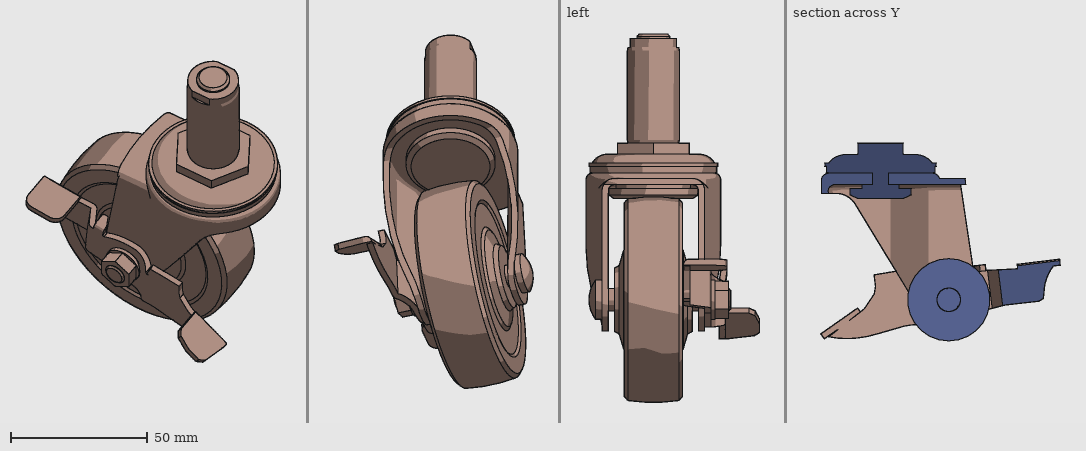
import cadquery as cq
import math


AXLE_X = -25.0
AXLE_RADIUS = 4.2
TALL = 135.0
SHEET = 2.3

TREAD_RADIUS = 37.7
TREAD_EDGE_RADIUS = 37.0
TREAD_EDGE_Y = 9.3
WHEEL_FACE_Y = 10.7
RIM_RADIUS = 35.5
RIM_INNER_RADIUS = 29.4
WEB_Y = 10.0
WEB_OUTER_RADIUS = 28.2
WEB_INNER_RADIUS = 19.5
CONE_BASE_RADIUS = 18.1
CONE_BASE_Y = 11.0
CONE_TOP_RADIUS = 12.5
CONE_TOP_Y = 12.5
HUB_RADIUS = 11.6
HUB_Y = 14.3

HEAD_RADIUS = 24.7
HEAD_TOP_Z = 46.5
HEAD_ROUND = 2.5
PLATE_TOP_Z = 44.4
PLATE_BOTTOM_Z = PLATE_TOP_Z - SHEET
SKIRT_BOTTOM_Z = 38.9
PLATE_EDGE_ROUND = 4.5
PLATE_CORNER_X = -29.8
PLATE_MIDDLE_X = -32.1
LEG_Y = 18.8
LEG_BLEND = 12.2
LEG_END_RADIUS = 10.7
LEG_END_Z = -0.8
LEG_REAR_LEAN = 8.5
LEG_FRONT_LEAN = 31.3
SKIRT_ROUND = 8.1
BELOW_Z = -16.2
CLEARANCE = 1.4
REAR_CLEAR_X = AXLE_X - 2 * LEG_END_RADIUS

STEM_TOP_Z = 97.3
BUTTON_RADIUS = 6.1
BUTTON_CHAMFER = 1.0
TIP_TOP_Z = 95.7
TIP_BOTTOM_Z = 92.3
TIP_RADIUS = 9.3
TIP_FLAT_Y = 8.5
SLEEVE_RADIUS = 9.6
SLEEVE_TOP_Z = 91.1
SLEEVE_BOTTOM_Z = 58.5
HEX_TOP_Z = 57.4
HEX_ACROSS_CORNERS = 30.4
COVER_TOP_Z = 53.3
COVER_TOP_RADIUS = 16.7
COVER_EDGE_RADIUS = 22.4
COVER_EDGE_Z = 50.1
LIP_RADIUS = 23.6
LIP_BOTTOM_Z = 48.9
RING_RADIUS = 23.2
NECK_RADIUS = 12.2
COLLAR_RADIUS = 13.6
FLANGE_RADIUS = 16.3
FLANGE_TOP_Z = 40.8
FLANGE_BOTTOM_Z = 37.0
FLANGE_CHAMFER_HEIGHT = 1.4
FLANGE_CHAMFER_WIDTH = 1.9

HEAD_RIM_RADIUS = 7.2
HEAD_RIM_Y = 21.2
HEAD_CROWN_Y = 23.6
WASHER_RADIUS = 7.2
WASHER_THICKNESS = 1.5
NUT_ACROSS_FLATS = 11.9
NUT_THICKNESS = 5.0
HALF_HEX_SECTOR = 30.0
BOLT_TIP_LENGTH = 0.8
BOLT_TIP_RADIUS = 4.0
BOLT_TIP_CHAMFER = 0.7

BRAKE_TILT = 7.0
REAR_ARM_Y = -11.1
MIDDLE_Y = -LEG_Y
FRONT_ARM_Y = -24.0
LEVER_REACH = 54.0
REAR_BEND_START_U = -19.5
REAR_BEND_END_U = -15.4
BEND_SHIFT = 1.4
REAR_BEND_ROUND = 2.7
FRONT_BEND_START_U = 3.0
FRONT_BEND_RADIUS = 9.5
FRONT_BEND_ROUND = 2.0
REAR_PEDAL_START_U = -42.1
REAR_PEDAL_END_U = -26.3
LEVER_TOP_W = 8.2
LEVER_REAR_TOP_W = 9.0
REAR_PEDAL_TOP_W = 9.9
REAR_PEDAL_TIP_Y = -27.0
REAR_PEDAL_CORNER = 4.0
PEDAL_BEND_ROUND = 2.0
STOP_START_U = -14.8
STOP_END_U = -10.7
STOP_TIP_END_U = -12.7
STOP_FOOT_W = 6.8
STOP_TOP_W = 11.2
STOP_TIP_Y = -14.7
TAB_ROOT_W = 8.1
TAB_TOP_W = 13.0
TAB_LEAN = 0.7
FRONT_PEDAL_U = 33.5
FRONT_PEDAL_W = 1.1
FRONT_PEDAL_SLOPE = 28.0
FRONT_PEDAL_LENGTH = 16.5
FRONT_PEDAL_TIP_Y = -38.9


def bar_along_y(radius, y_start, y_end):
    """Round bar on the wheel axis."""
    plane = cq.Workplane("XZ", origin=(AXLE_X, y_start, 0))
    return plane.circle(radius).extrude(y_start - y_end)


def upright_edge(x, y):
    """Selects the upright edge that passes through a point in plan."""
    reach = 0.7
    return cq.selectors.BoxSelector((x - reach, y - reach, -TALL), (x + reach, y + reach, TALL))


def cross_edge(x, z):
    """Selects the edge along Y that passes through a point of the side outline."""
    reach = 0.7
    return cq.selectors.BoxSelector((x - reach, -TALL, z - reach), (x + reach, TALL, z + reach))


def make_wheel():
    """Wheel turned about the axle, with a crowned tread, recessed webs and a coned hub."""
    half_section = [
        (TREAD_EDGE_Y, TREAD_EDGE_RADIUS),
        (WHEEL_FACE_Y, RIM_RADIUS),
        (WHEEL_FACE_Y, RIM_INNER_RADIUS),
        (WEB_Y, WEB_OUTER_RADIUS),
        (WEB_Y, WEB_INNER_RADIUS),
        (CONE_BASE_Y, CONE_BASE_RADIUS),
        (CONE_TOP_Y, CONE_TOP_RADIUS),
        (HUB_Y, HUB_RADIUS),
        (HUB_Y, AXLE_RADIUS),
    ]
    mirrored = [(-y, radius) for y, radius in reversed(half_section)]
    return (
        cq.Workplane("YZ", origin=(AXLE_X, 0, 0))
        .polyline(half_section + mirrored)
        .threePointArc((0, TREAD_RADIUS), half_section[0])
        .close()
        .revolve(360, (0, 0, 0), (1, 0, 0))
    )


def fork_envelope(inset, height):
    """Upright prism of the fork outline in plan: round head blending into two flat sides."""
    half_width = LEG_Y - inset
    head = cq.Workplane("XY").workplane(offset=BELOW_Z).circle(HEAD_RADIUS - inset)
    head = head.extrude(height - BELOW_Z)
    rear = (
        cq.Workplane("XY")
        .workplane(offset=BELOW_Z)
        .moveTo(0, -half_width)
        .lineTo(0, half_width)
        .lineTo(REAR_CLEAR_X, half_width)
        .lineTo(REAR_CLEAR_X, -half_width)
        .close()
        .extrude(height - BELOW_Z)
    )
    joint_x = -math.sqrt((HEAD_RADIUS - inset) ** 2 - half_width**2)
    envelope = head.union(rear)
    for y in (-half_width, half_width):
        envelope = envelope.edges("|Z").edges(upright_edge(joint_x, y)).fillet(LEG_BLEND + inset)
    return envelope


def leg_silhouette():
    """Side outline of the fork: tapered legs ending round about the axle, below the head."""
    rear = math.radians(LEG_REAR_LEAN)
    front = math.radians(LEG_FRONT_LEAN)
    rear_tangent = (
        AXLE_X - LEG_END_RADIUS * math.cos(rear),
        LEG_END_Z + LEG_END_RADIUS * math.sin(rear),
    )
    front_tangent = (
        AXLE_X + LEG_END_RADIUS * math.cos(front),
        LEG_END_Z - LEG_END_RADIUS * math.sin(front),
    )
    rear_top_x = rear_tangent[0] + (PLATE_BOTTOM_Z - rear_tangent[1]) * math.tan(rear)
    skirt_x = front_tangent[0] + (SKIRT_BOTTOM_Z - front_tangent[1]) * math.tan(front)
    prism = (
        cq.Workplane("XZ")
        .moveTo(*rear_tangent)
        .threePointArc((AXLE_X, LEG_END_Z - LEG_END_RADIUS), front_tangent)
        .lineTo(skirt_x, SKIRT_BOTTOM_Z)
        .lineTo(HEAD_RADIUS + CLEARANCE, SKIRT_BOTTOM_Z)
        .lineTo(HEAD_RADIUS + CLEARANCE, HEAD_TOP_Z)
        .lineTo(PLATE_MIDDLE_X - CLEARANCE, HEAD_TOP_Z)
        .lineTo(PLATE_MIDDLE_X - CLEARANCE, PLATE_BOTTOM_Z)
        .lineTo(rear_top_x, PLATE_BOTTOM_Z)
        .close()
        .extrude(HEAD_RADIUS + CLEARANCE, both=True)
    )
    return prism.edges("|Y").edges(cross_edge(skirt_x, SKIRT_BOTTOM_Z)).fillet(SKIRT_ROUND)


def rear_trim():
    """Region in front of the bowed rear edge of the top plate, and everything below the plate."""
    plate_zone = (
        cq.Workplane("XY")
        .workplane(offset=PLATE_BOTTOM_Z)
        .moveTo(HEAD_RADIUS + CLEARANCE, HEAD_RADIUS + CLEARANCE)
        .lineTo(PLATE_CORNER_X, HEAD_RADIUS + CLEARANCE)
        .lineTo(PLATE_CORNER_X, LEG_Y)
        .threePointArc((PLATE_MIDDLE_X, 0), (PLATE_CORNER_X, -LEG_Y))
        .lineTo(PLATE_CORNER_X, -HEAD_RADIUS - CLEARANCE)
        .lineTo(HEAD_RADIUS + CLEARANCE, -HEAD_RADIUS - CLEARANCE)
        .close()
        .extrude(HEAD_TOP_Z - PLATE_BOTTOM_Z)
    )
    leg_zone = (
        cq.Workplane("XY")
        .workplane(offset=BELOW_Z)
        .rect(-4 * REAR_CLEAR_X, 4 * HEAD_RADIUS)
        .extrude(PLATE_BOTTOM_Z - BELOW_Z)
    )
    return plate_zone.union(leg_zone)


def make_fork(axle):
    """Pressed fork: hollow head and plate with two legs, bored for the stem and seating the bolt."""
    outer = fork_envelope(0, PLATE_TOP_Z).faces(">Z").edges().fillet(PLATE_EDGE_ROUND)
    head = (
        cq.Workplane("XY")
        .workplane(offset=SKIRT_BOTTOM_Z)
        .circle(HEAD_RADIUS)
        .extrude(HEAD_TOP_Z - SKIRT_BOTTOM_Z)
        .faces(">Z")
        .edges()
        .fillet(HEAD_ROUND)
    )
    inner = fork_envelope(SHEET, PLATE_BOTTOM_Z).faces(">Z").edges().fillet(PLATE_EDGE_ROUND - SHEET)
    shell = outer.union(head).cut(inner).intersect(leg_silhouette()).intersect(rear_trim())
    stem_hole = cq.Workplane("XY").circle(NECK_RADIUS).extrude(HEAD_TOP_Z)
    return shell.cut(stem_hole).cut(axle)


def make_stem():
    """Stem with its flatted tip, hexagon, bearing cover and the flange below the fork plate."""
    turned = (
        cq.Workplane("XZ")
        .moveTo(0, STEM_TOP_Z)
        .lineTo(BUTTON_RADIUS - BUTTON_CHAMFER, STEM_TOP_Z)
        .lineTo(BUTTON_RADIUS, STEM_TOP_Z - BUTTON_CHAMFER)
        .lineTo(BUTTON_RADIUS, TIP_TOP_Z)
        .lineTo(TIP_RADIUS, TIP_TOP_Z)
        .lineTo(TIP_RADIUS, TIP_BOTTOM_Z)
        .lineTo(SLEEVE_RADIUS, SLEEVE_TOP_Z)
        .lineTo(SLEEVE_RADIUS, SLEEVE_BOTTOM_Z)
        .lineTo(TIP_RADIUS, HEX_TOP_Z)
        .lineTo(TIP_RADIUS, COVER_TOP_Z)
        .lineTo(COVER_TOP_RADIUS, COVER_TOP_Z)
        .tangentArcPoint((COVER_EDGE_RADIUS, COVER_EDGE_Z), relative=False)
        .lineTo(LIP_RADIUS, COVER_EDGE_Z)
        .lineTo(LIP_RADIUS, LIP_BOTTOM_Z)
        .lineTo(RING_RADIUS, LIP_BOTTOM_Z)
        .lineTo(RING_RADIUS, HEAD_TOP_Z)
        .lineTo(NECK_RADIUS, HEAD_TOP_Z)
        .lineTo(NECK_RADIUS, PLATE_BOTTOM_Z)
        .lineTo(COLLAR_RADIUS, PLATE_BOTTOM_Z)
        .lineTo(COLLAR_RADIUS, FLANGE_TOP_Z)
        .lineTo(FLANGE_RADIUS, FLANGE_TOP_Z)
        .lineTo(FLANGE_RADIUS, FLANGE_BOTTOM_Z + FLANGE_CHAMFER_HEIGHT)
        .lineTo(FLANGE_RADIUS - FLANGE_CHAMFER_WIDTH, FLANGE_BOTTOM_Z)
        .lineTo(0, FLANGE_BOTTOM_Z)
        .close()
        .revolve(360, (0, 0, 0), (0, 1, 0))
    )
    flatted_tip = cq.Workplane("XY").workplane(offset=TIP_BOTTOM_Z)
    flatted_tip = flatted_tip.rect(2 * SLEEVE_RADIUS, 2 * TIP_FLAT_Y).extrude(TIP_TOP_Z - TIP_BOTTOM_Z)
    tip_band = cq.Workplane("XY").workplane(offset=TIP_BOTTOM_Z)
    tip_band = tip_band.circle(SLEEVE_RADIUS).extrude(TIP_TOP_Z - TIP_BOTTOM_Z)
    hexagon = cq.Workplane("XY").workplane(offset=COVER_TOP_Z)
    hexagon = hexagon.polygon(6, HEX_ACROSS_CORNERS).extrude(HEX_TOP_Z - COVER_TOP_Z)
    return turned.cut(tip_band.cut(flatted_tip)).union(hexagon)


def make_axle():
    """Bolt with a domed head on the +Y leg and a flanged nut against the brake lever."""
    washer_y = MIDDLE_Y - SHEET
    nut_y = washer_y - WASHER_THICKNESS
    nut_end_y = nut_y - NUT_THICKNESS
    tip_y = nut_end_y - BOLT_TIP_LENGTH
    crown_rise = HEAD_CROWN_Y - HEAD_RIM_Y
    crown_radius = (HEAD_RIM_RADIUS**2 + crown_rise**2) / (2 * crown_rise)
    crown_drop = crown_radius - math.sqrt(crown_radius**2 - (HEAD_RIM_RADIUS / 2) ** 2)
    crown_middle_y = HEAD_CROWN_Y - crown_drop
    shank = bar_along_y(AXLE_RADIUS, LEG_Y, washer_y)
    head = (
        cq.Workplane("XY", origin=(AXLE_X, 0, 0))
        .moveTo(0, LEG_Y)
        .lineTo(HEAD_RIM_RADIUS, LEG_Y)
        .lineTo(HEAD_RIM_RADIUS, HEAD_RIM_Y)
        .threePointArc((HEAD_RIM_RADIUS / 2, crown_middle_y), (0, HEAD_CROWN_Y))
        .close()
        .revolve(360, (0, 0, 0), (0, 1, 0))
    )
    washer = bar_along_y(WASHER_RADIUS, washer_y, nut_y)
    nut = (
        cq.Workplane("XZ", origin=(AXLE_X, nut_y, 0))
        .polygon(6, NUT_ACROSS_FLATS / math.cos(math.radians(HALF_HEX_SECTOR)))
        .extrude(NUT_THICKNESS)
        .rotate((AXLE_X, 0, 0), (AXLE_X, 1, 0), HALF_HEX_SECTOR)
    )
    tip = bar_along_y(BOLT_TIP_RADIUS, nut_end_y, tip_y).faces("<Y").chamfer(BOLT_TIP_CHAMFER)
    return shank.union(head).union(washer).union(nut).union(tip)


def lever_strip():
    """Lever sheet bent in plan, taller than the lever."""
    rear_outer = REAR_ARM_Y - SHEET
    middle_outer = MIDDLE_Y - SHEET
    front_outer = FRONT_ARM_Y - SHEET
    outer_radius = FRONT_BEND_RADIUS
    inner_radius = FRONT_BEND_RADIUS + SHEET
    offset = MIDDLE_Y - FRONT_ARM_Y
    outer_end_u = FRONT_BEND_START_U + math.sqrt(outer_radius**2 - (outer_radius - offset) ** 2)
    inner_end_u = FRONT_BEND_START_U + math.sqrt(inner_radius**2 - (inner_radius - offset) ** 2)
    strip = (
        cq.Workplane("XY")
        .workplane(offset=-LEVER_REACH)
        .moveTo(-LEVER_REACH, rear_outer)
        .lineTo(REAR_BEND_START_U - BEND_SHIFT, rear_outer)
        .lineTo(REAR_BEND_END_U - BEND_SHIFT, middle_outer)
        .lineTo(FRONT_BEND_START_U, middle_outer)
        .tangentArcPoint((outer_end_u, front_outer), relative=False)
        .lineTo(LEVER_REACH, front_outer)
        .lineTo(LEVER_REACH, FRONT_ARM_Y)
        .lineTo(inner_end_u, FRONT_ARM_Y)
        .radiusArc((FRONT_BEND_START_U, MIDDLE_Y), -inner_radius)
        .lineTo(REAR_BEND_END_U, MIDDLE_Y)
        .lineTo(REAR_BEND_START_U, REAR_ARM_Y)
        .lineTo(-LEVER_REACH, REAR_ARM_Y)
        .close()
        .extrude(2 * LEVER_REACH)
    )
    rear_bends = (
        (REAR_BEND_START_U, REAR_ARM_Y),
        (REAR_BEND_END_U - BEND_SHIFT, middle_outer),
    )
    for u, y in rear_bends:
        strip = strip.edges("|Z").edges(upright_edge(u, y)).fillet(REAR_BEND_ROUND)
    return strip.edges("|Z").edges(upright_edge(outer_end_u, front_outer)).fillet(FRONT_BEND_ROUND)


def lever_outline():
    """Side outline of the lever, extruded through its whole depth."""
    rear_end_top = (-40.2, LEVER_TOP_W)
    rear_end_side = (-35.0, -1.6)
    rear_end_hollow = (-36.6, 3.5)
    rear_lower_edge = [(-34.4, -3.8), (-32.7, -4.6), (-20.4, -4.5), (-8.8, -6.0)]
    middle_bottom = (1.2, -9.5)
    front_bottom = (12.0, -7.7)
    front_lower_edge = [(21.0, -8.1), (26.3, -9.0), (31.2, -9.7), (37.7, -9.7), (45.4, -8.1)]
    front_upper_edge = [(33.2, -0.8), (31.0, 0.5), (26.9, 5.4), (26.0, TAB_ROOT_W), (11.3, TAB_ROOT_W)]
    middle_top = (0.0, 10.7)
    stop_foot = (-10.0, 7.8)
    rear_upper_edge = [(STOP_START_U, LEVER_REAR_TOP_W), (REAR_PEDAL_END_U, LEVER_TOP_W)]
    return (
        cq.Workplane("XZ")
        .moveTo(*rear_end_top)
        .threePointArc(rear_end_hollow, rear_end_side)
        .polyline(rear_lower_edge, includeCurrent=True)
        .threePointArc(middle_bottom, front_bottom)
        .spline(front_lower_edge, includeCurrent=True)
        .polyline(front_upper_edge, includeCurrent=True)
        .threePointArc(middle_top, stop_foot)
        .polyline(rear_upper_edge, includeCurrent=True)
        .close()
        .extrude(LEVER_REACH)
    )


def rear_pedal():
    """Flat foot pad turned outward from the top of the rear arm."""
    depth = REAR_ARM_Y - REAR_PEDAL_TIP_Y
    pad = cq.Workplane("XY").box(REAR_PEDAL_END_U - REAR_PEDAL_START_U, depth, SHEET, centered=False)
    pad = pad.translate((REAR_PEDAL_START_U, REAR_PEDAL_TIP_Y, REAR_PEDAL_TOP_W - SHEET))
    pad = pad.edges("|Z and <Y").fillet(REAR_PEDAL_CORNER)
    return pad.edges(">Y and >Z").fillet(PEDAL_BEND_ROUND)


def stop_tab():
    """Tapered tab turned inward behind the fork leg, rounded over its bend."""
    root_y = MIDDLE_Y - SHEET
    plan = [
        (STOP_START_U, root_y),
        (STOP_END_U, root_y),
        (STOP_END_U, MIDDLE_Y),
        (STOP_TIP_END_U, STOP_TIP_Y),
        (STOP_START_U, STOP_TIP_Y),
    ]
    tab = cq.Workplane("XY").workplane(offset=STOP_TOP_W).polyline(plan).close()
    tab = tab.extrude(STOP_FOOT_W - STOP_TOP_W)
    tab = tab.edges("<Y and >Z").fillet(PEDAL_BEND_ROUND)
    space_under = cq.Workplane("XY").box(TALL, STOP_TIP_Y - MIDDLE_Y, TALL, centered=(True, False, False))
    return tab.cut(space_under.translate((0, MIDDLE_Y, STOP_TOP_W - SHEET - TALL)))


def leaning_tab():
    """Upright tab above the front arm, leaning slightly outward."""
    side = (
        cq.Workplane("YZ")
        .moveTo(FRONT_ARM_Y, TAB_ROOT_W)
        .lineTo(FRONT_ARM_Y - SHEET, TAB_ROOT_W)
        .lineTo(FRONT_ARM_Y - SHEET - TAB_LEAN, TAB_TOP_W)
        .lineTo(FRONT_ARM_Y - TAB_LEAN, TAB_TOP_W)
        .close()
        .extrude(LEVER_REACH)
    )
    corners = [(11.9, TAB_ROOT_W), (26.0, TAB_ROOT_W), (26.0, 12.4), (13.2, TAB_TOP_W)]
    face = (
        cq.Workplane("XZ")
        .polyline(corners)
        .close()
        .extrude(LEVER_REACH)
    )
    return side.intersect(face)


def front_pedal():
    """Tapered foot pad turned outward from the sloping end of the front arm."""
    outline = [
        (0, FRONT_ARM_Y),
        (0, -35.0),
        (1.8, -37.3),
        (7.0, FRONT_PEDAL_TIP_Y),
        (12.4, FRONT_PEDAL_TIP_Y),
        (14.5, -37.0),
        (FRONT_PEDAL_LENGTH, -27.0),
        (FRONT_PEDAL_LENGTH, FRONT_ARM_Y),
    ]
    pad = cq.Workplane("XY").polyline(outline).close().extrude(-SHEET)
    pad = pad.edges(">Y and >Z").fillet(PEDAL_BEND_ROUND)
    pad = pad.rotate((0, 0, 0), (0, 1, 0), FRONT_PEDAL_SLOPE)
    return pad.translate((FRONT_PEDAL_U, 0, FRONT_PEDAL_W))


def make_brake(axle):
    """Bent brake lever, seated on the axle and under the nut flange."""
    lever = lever_strip().intersect(lever_outline())
    for feature in (rear_pedal(), stop_tab(), leaning_tab(), front_pedal()):
        lever = lever.union(feature)
    placed = lever.rotate((0, 0, 0), (0, 1, 0), BRAKE_TILT).translate((AXLE_X, 0, 0))
    return placed.cut(axle)


wheel = make_wheel()
axle = make_axle()
fork = make_fork(axle)
stem = make_stem()
brake = make_brake(axle)

bodies = (wheel, fork, stem, axle, brake)
result = cq.Compound.makeCompound([body.solids().val() for body in bodies])